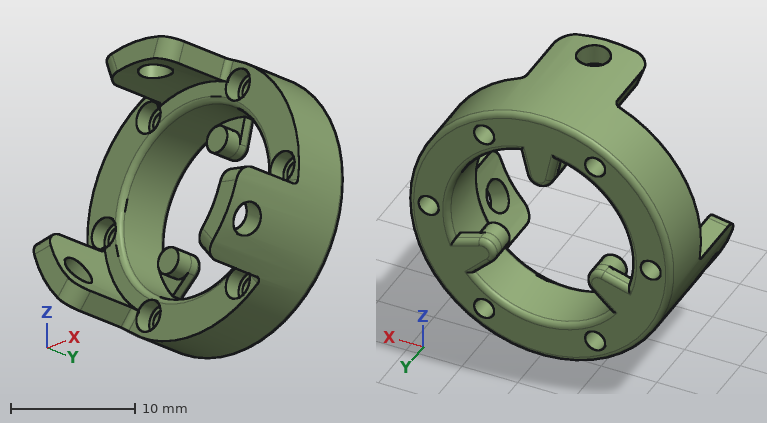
import cadquery as cq
import math

OUTER_RADIUS = 11.8
BORE_RADIUS = 16.4 / 2
TOTAL_LENGTH = 12.08
TAB_LENGTH = 6.7
RING_LENGTH = TOTAL_LENGTH - TAB_LENGTH
EDGE_ROUND = 0.5
BACK_Y = TOTAL_LENGTH / 2
RING_FRONT_Y = BACK_Y - RING_LENGTH
TAB_END_Y = -BACK_Y

TAB_INNER_RADIUS = 9.95
TAB_HALF_ANGLE = 20.0
TAB_ANGLES = (90, 210, 330)
TAB_CORNER_RADIUS = 1.49
TAB_ROOT_RADIUS = 0.5
BLANK_RADIUS = 14.15
FOOT_DEPTH = 1.18
FOOT_HALF_ANGLE = 28.0
WEDGE_NEAR_X = 8.25
WEDGE_FAR_X = 12.98
TOLERANCE = 0.01
TAB_HOLE_DIAMETER = 2.8
TAB_HOLE_FROM_END = 2.35

SCREW_COUNT = 6
SCREW_CIRCLE_RADIUS = 9.95
SCREW_DIAMETER = 1.8
COUNTERBORE_DIAMETER = 2.7
COUNTERBORE_DEPTH = 1.49

PIN_RADIUS = 2.3 / 2
PIN_CIRCLE_RADIUS = 6.07
PIN_PROTRUSION = 1.49
ARM_THICKNESS = 1.25
ARM_TAPER = 13.0
ARM_TWIST = -1.2
PIN_ANGLES = [angle + ARM_TWIST for angle in TAB_ANGLES]
ARM_ROOT_RADIUS = BORE_RADIUS + EDGE_ROUND


def polar(radius, angle):
    """Point in the XZ plane, angle in degrees from +X toward +Z."""
    return (radius * math.cos(math.radians(angle)), radius * math.sin(math.radians(angle)))


def plane_at(y):
    """XZ workplane whose extrusions run toward -Y."""
    return cq.Workplane("XZ", origin=(0, y, 0))


def is_tab_root(edge):
    """True for the edges where the blade sides meet the foot."""
    center = edge.Center()
    on_foot_face = abs(center.y - RING_FRONT_Y) < TOLERANCE
    side_angle = math.degrees(math.atan2(abs(center.z), center.x))
    return on_foot_face and abs(side_angle - TAB_HALF_ANGLE) < TOLERANCE


def make_wedge(back_y, half_angle, length):
    """Block around +X with flat radial sides, long enough to pass through the tab wall."""
    slope = math.tan(math.radians(half_angle))
    near, far = WEDGE_NEAR_X, WEDGE_FAR_X
    outline = [(near, -near * slope), (far, -far * slope), (far, far * slope), (near, near * slope)]
    return plane_at(back_y).polyline(outline).close().extrude(length)


def make_tab(angle):
    """Rounded blade rising from a wider foot that lies inside the ring blank."""
    blade = make_wedge(RING_FRONT_Y, TAB_HALF_ANGLE, TAB_LENGTH)
    blade = blade.faces("<Y").edges("not |Z").fillet(TAB_CORNER_RADIUS)
    foot = make_wedge(RING_FRONT_Y + FOOT_DEPTH, FOOT_HALF_ANGLE, FOOT_DEPTH)
    body = blade.union(foot)
    roots = [edge for edge in body.edges("not |Z").vals() if is_tab_root(edge)]
    body = body.newObject(roots).fillet(TAB_ROOT_RADIUS)
    return body.rotate((0, 0, 0), (0, -1, 0), angle)


def make_body():
    """Ring and tabs, trimmed together so that they share one outer cylinder."""
    blank = plane_at(BACK_Y).circle(BLANK_RADIUS).extrude(RING_LENGTH)
    for angle in TAB_ANGLES:
        blank = blank.union(make_tab(angle))
    bore = plane_at(BACK_Y).circle(BORE_RADIUS).extrude(RING_LENGTH)
    bore = bore.union(plane_at(RING_FRONT_Y).circle(TAB_INNER_RADIUS).extrude(TAB_LENGTH))
    envelope = plane_at(BACK_Y).circle(OUTER_RADIUS).extrude(TOTAL_LENGTH).cut(bore)
    body = blank.intersect(envelope)
    mouth = [
        edge
        for edge in body.edges("%CIRCLE").vals()
        if abs(edge.Center().y - RING_FRONT_Y) < TOLERANCE and abs(edge.radius() - BORE_RADIUS) < TOLERANCE
    ]
    return body.newObject(mouth).fillet(EDGE_ROUND)


def make_tab_hole(angle):
    x, z = polar(1, angle)
    center = cq.Vector(0, TAB_END_Y + TAB_HOLE_FROM_END, 0)
    return cq.Solid.makeCylinder(TAB_HOLE_DIAMETER / 2, BLANK_RADIUS, center, cq.Vector(x, 0, z))


def make_screw_holes():
    centers = [polar(SCREW_CIRCLE_RADIUS, i * 360 / SCREW_COUNT) for i in range(SCREW_COUNT)]
    through = plane_at(BACK_Y).pushPoints(centers).circle(SCREW_DIAMETER / 2).extrude(RING_LENGTH)
    counterbores = (
        plane_at(RING_FRONT_Y + COUNTERBORE_DEPTH)
        .pushPoints(centers)
        .circle(COUNTERBORE_DIAMETER / 2)
        .extrude(COUNTERBORE_DEPTH)
    )
    return through.union(counterbores)


def make_arm(angle):
    """Arm whose sides are tangent to the pin and widen toward the ring."""
    taper = math.radians(ARM_TAPER)
    tangent_x = PIN_CIRCLE_RADIUS - PIN_RADIUS * math.sin(taper)
    tangent_z = PIN_RADIUS * math.cos(taper)
    root_z = tangent_z + (ARM_ROOT_RADIUS - tangent_x) * math.tan(taper)
    arm = (
        plane_at(BACK_Y)
        .moveTo(tangent_x, tangent_z)
        .lineTo(ARM_ROOT_RADIUS, root_z)
        .lineTo(ARM_ROOT_RADIUS, -root_z)
        .lineTo(tangent_x, -tangent_z)
        .threePointArc((PIN_CIRCLE_RADIUS - PIN_RADIUS, 0), (tangent_x, tangent_z))
        .close()
        .extrude(ARM_THICKNESS)
    )
    return arm.rotate((0, 0, 0), (0, -1, 0), angle)


def make_pins():
    centers = [polar(PIN_CIRCLE_RADIUS, angle) for angle in PIN_ANGLES]
    return plane_at(BACK_Y - ARM_THICKNESS).pushPoints(centers).circle(PIN_RADIUS).extrude(PIN_PROTRUSION)


result = make_body()
for pin_angle in PIN_ANGLES:
    result = result.union(make_arm(pin_angle))
result = result.faces(">Y").edges().fillet(EDGE_ROUND)
result = result.union(make_pins())
for tab_angle in TAB_ANGLES:
    result = result.cut(cq.Workplane(make_tab_hole(tab_angle)))
result = result.cut(make_screw_holes())